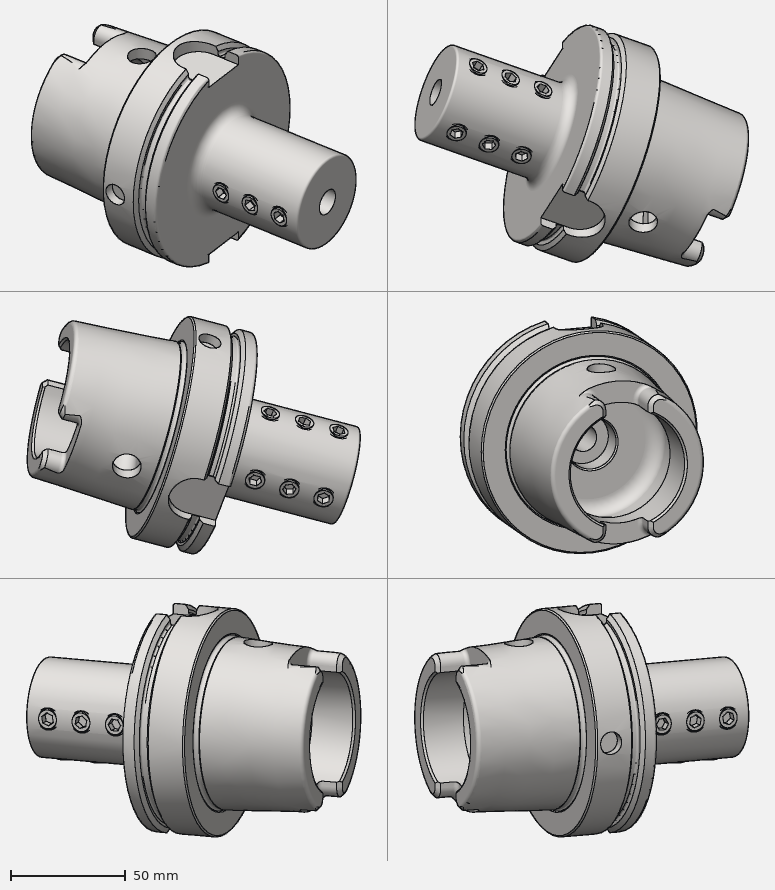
import cadquery as cq
import math

TOTAL_LENGTH = 134.9
FLANGE_START = 49.9
FLANGE_LENGTH = 29.0
FLANGE_END = FLANGE_START + FLANGE_LENGTH
FLANGE_RADIUS = 49.98

TAPER_MOUTH_RADIUS = 35.3
TAPER_BASE_RADIUS = 37.9
TAPER_END = 47.3
MOUTH_ROUND = 1.9

RELIEF_RADIUS = 37.4
RELIEF_START = 47.9
RELIEF_ROUND = 1.2
RELIEF_END = FLANGE_START + 0.3
RELIEF_FACE_RADIUS = 39.1

FLANGE_FRONT_CHAMFER = 0.7
FLANGE_REAR_ROUND = 1.2
GROOVE_START = 66.6
GROOVE_END = 73.3
GROOVE_FRONT_RUN = 1.3
GROOVE_REAR_RUN = 1.6
GROOVE_CONE_DEPTH = 2.2
GROOVE_FLOOR_RADIUS = 45.7
GROOVE_FLOOR_ROUND = 0.8

NOSE_RADIUS = 22.0
NOSE_FILLET = 4.9
NOSE_END_ROUND = 1.1

LIP_RADIUS = 26.5
LIP_END = 20.0
LIP_CHAMFER = 1.0
CAVITY_RADIUS = 31.5
CAVITY_DEPTH = 47.0
CAVITY_FLOOR_ROUND = 6.7
TUBE_SEAT_RADIUS = 11.3
TUBE_SEAT_CHAMFER = 0.7
TUBE_SEAT_DEPTH = 10.8
TOOL_BORE_RADIUS = 6.0

SLOT_HALF_WIDTH = 9.7
SLOT_CORNER_RADIUS = 5.0
SLOT_CORNER_Z = 27.1
SLOT_CORNER_SWEEP = 111.0
SLOT_FLOOR_FILLET = 1.9
SLOT_BLOCK_HALF_SIDE = 40.5
TOP_SLOT_DEPTH = 15.2
BOTTOM_SLOT_DEPTH = 10.0

ACCESS_HOLE_X = 34.8
ACCESS_HOLE_RADIUS = 6.2
KEYWAY_HALF_WIDTH = 10.9
KEYWAY_START = 54.4
KEYWAY_FLOOR_Z = 44.0
POCKET_X = 56.9
POCKET_RADIUS = 5.0
POCKET_DEPTH = 4.7

SCREW_RADIUS = 5.0
SCREW_CHAMFER = 0.8
SCREW_LENGTH = 15.5
HEX_ACROSS_FLATS = 5.0
HEX_DEPTH = 4.0
SCREW_FIRST_X = 93.5
SCREW_PITCH = 15.6
SCREWS_PER_ROW = 3
HEX_TURN_PER_SCREW = 20.0
SCREW_ROW_ANGLES = (0, 90, 180)


def revolve_about_x(profile):
    """Turn a closed XY profile a full turn about the X axis."""
    return profile.close().revolve(360, (0, 0, 0), (1, 0, 0))


def cavity():
    """Clamping cavity: chamfered lip, undercut behind it, and rounded floor corner."""
    profile = (
        cq.Workplane("XY")
        .lineTo(0, LIP_RADIUS + LIP_CHAMFER)
        .lineTo(LIP_CHAMFER, LIP_RADIUS)
        .lineTo(LIP_END, LIP_RADIUS)
        .lineTo(LIP_END, CAVITY_RADIUS)
        .lineTo(CAVITY_DEPTH - CAVITY_FLOOR_ROUND, CAVITY_RADIUS)
        .radiusArc((CAVITY_DEPTH, CAVITY_RADIUS - CAVITY_FLOOR_ROUND), CAVITY_FLOOR_ROUND)
        .lineTo(CAVITY_DEPTH, 0)
    )
    return revolve_about_x(profile)


def slot_prism(depth):
    """Drive slot on the +Z side, flaring outward round the ends of the two lobes."""
    reach = SLOT_BLOCK_HALF_SIDE
    corner_y = SLOT_HALF_WIDTH + SLOT_CORNER_RADIUS
    sweep = math.radians(SLOT_CORNER_SWEEP)

    def on_corner(angle):
        return (
            corner_y - SLOT_CORNER_RADIUS * math.cos(angle),
            SLOT_CORNER_Z + SLOT_CORNER_RADIUS * math.sin(angle),
        )

    arc_middle = on_corner(sweep / 2)
    arc_end = on_corner(sweep)
    flank_end_z = arc_end[1] + (reach - arc_end[0]) / math.tan(sweep)
    half = (
        cq.Workplane("YZ")
        .lineTo(SLOT_HALF_WIDTH, 0)
        .lineTo(SLOT_HALF_WIDTH, SLOT_CORNER_Z)
        .threePointArc(arc_middle, arc_end)
        .lineTo(reach, flank_end_z)
        .lineTo(reach, reach)
        .lineTo(0, reach)
        .close()
        .extrude(depth)
    )
    floor_rim = cq.selectors.BoxSelector((depth - 0.1, 1.3 - reach, 0.1), (depth + 0.1, reach - 1.3, reach - 1.3))
    return half.union(half.mirror("XZ")).edges(floor_rim).fillet(SLOT_FLOOR_FILLET)


def slotted_block():
    """Block holding both drive slots, with the edges round their mouths chamfered."""
    reach = SLOT_BLOCK_HALF_SIDE
    block = cq.Workplane("YZ").rect(2 * reach, 2 * reach).extrude(FLANGE_END)
    block = block.cut(slot_prism(TOP_SLOT_DEPTH))
    block = block.cut(slot_prism(BOTTOM_SLOT_DEPTH).mirror("XY"))
    mouth_rim = cq.selectors.BoxSelector((-0.1, 1.3 - reach, 1.3 - reach), (0.1, reach - 1.3, reach - 1.3))
    return block.edges(mouth_rim).chamfer(MOUTH_ROUND)


def shank_and_flange_blank():
    """Outside of the holder, turned in one piece: taper, relief, flange and nose."""
    gripper_cone_radius = FLANGE_RADIUS - GROOVE_CONE_DEPTH
    groove_front = GROOVE_START + GROOVE_FRONT_RUN
    groove_rear = GROOVE_END - GROOVE_REAR_RUN
    floor_corner_radius = GROOVE_FLOOR_RADIUS + GROOVE_FLOOR_ROUND
    profile = (
        cq.Workplane("XY")
        .lineTo(0, TAPER_MOUTH_RADIUS - MOUTH_ROUND)
        .radiusArc((MOUTH_ROUND, TAPER_MOUTH_RADIUS), MOUTH_ROUND)
        .lineTo(TAPER_END, TAPER_BASE_RADIUS)
        .lineTo(RELIEF_START, RELIEF_RADIUS)
        .lineTo(RELIEF_END - RELIEF_ROUND, RELIEF_RADIUS)
        .radiusArc((RELIEF_END, RELIEF_RADIUS + RELIEF_ROUND), -RELIEF_ROUND)
        .lineTo(FLANGE_START, RELIEF_FACE_RADIUS)
        .lineTo(FLANGE_START, FLANGE_RADIUS - FLANGE_FRONT_CHAMFER)
        .lineTo(FLANGE_START + FLANGE_FRONT_CHAMFER, FLANGE_RADIUS)
        .lineTo(GROOVE_START, FLANGE_RADIUS)
        .lineTo(groove_front, gripper_cone_radius)
        .lineTo(groove_front, floor_corner_radius)
        .radiusArc((groove_front + GROOVE_FLOOR_ROUND, GROOVE_FLOOR_RADIUS), -GROOVE_FLOOR_ROUND)
        .lineTo(groove_rear - GROOVE_FLOOR_ROUND, GROOVE_FLOOR_RADIUS)
        .radiusArc((groove_rear, floor_corner_radius), -GROOVE_FLOOR_ROUND)
        .lineTo(groove_rear, gripper_cone_radius)
        .lineTo(GROOVE_END, FLANGE_RADIUS)
        .lineTo(FLANGE_END - FLANGE_REAR_ROUND, FLANGE_RADIUS)
        .radiusArc((FLANGE_END, FLANGE_RADIUS - FLANGE_REAR_ROUND), FLANGE_REAR_ROUND)
        .lineTo(FLANGE_END, NOSE_RADIUS + NOSE_FILLET)
        .radiusArc((FLANGE_END + NOSE_FILLET, NOSE_RADIUS), -NOSE_FILLET)
        .lineTo(TOTAL_LENGTH - NOSE_END_ROUND, NOSE_RADIUS)
        .radiusArc((TOTAL_LENGTH, NOSE_RADIUS - NOSE_END_ROUND), NOSE_END_ROUND)
        .lineTo(TOTAL_LENGTH, 0)
    )
    return revolve_about_x(profile)


def tool_bore():
    """Coolant-tube seat in the cavity floor and the tool bore behind it, out to the nose end."""
    mouth_radius = TUBE_SEAT_RADIUS + TUBE_SEAT_CHAMFER
    seat_end = CAVITY_DEPTH + TUBE_SEAT_DEPTH
    profile = (
        cq.Workplane("XY")
        .moveTo(CAVITY_DEPTH, 0)
        .lineTo(CAVITY_DEPTH, mouth_radius)
        .lineTo(CAVITY_DEPTH + TUBE_SEAT_CHAMFER, TUBE_SEAT_RADIUS)
        .lineTo(seat_end, TUBE_SEAT_RADIUS)
        .lineTo(seat_end, TOOL_BORE_RADIUS)
        .lineTo(TOTAL_LENGTH, TOOL_BORE_RADIUS)
        .lineTo(TOTAL_LENGTH, 0)
    )
    return revolve_about_x(profile)


def keyway():
    """Round-ended keyway on the +Z side of the flange, open at the flange's rear face."""
    centre_x = KEYWAY_START + KEYWAY_HALF_WIDTH
    return (
        cq.Workplane("XY", origin=(0, 0, KEYWAY_FLOOR_Z))
        .moveTo(FLANGE_END, KEYWAY_HALF_WIDTH)
        .lineTo(centre_x, KEYWAY_HALF_WIDTH)
        .threePointArc((KEYWAY_START, 0), (centre_x, -KEYWAY_HALF_WIDTH))
        .lineTo(FLANGE_END, -KEYWAY_HALF_WIDTH)
        .close()
        .extrude(FLANGE_RADIUS - KEYWAY_FLOOR_Z)
    )


def access_hole():
    """Cross hole through both walls of the taper."""
    length = 2 * TAPER_BASE_RADIUS
    return cq.Workplane("XY").center(ACCESS_HOLE_X, 0).circle(ACCESS_HOLE_RADIUS).extrude(length / 2, both=True)


def flange_pocket():
    """Blind round pocket in the -Y side of the flange."""
    return (
        cq.Workplane("XZ", origin=(POCKET_X, -FLANGE_RADIUS, 0))
        .circle(POCKET_RADIUS)
        .extrude(-POCKET_DEPTH)
    )


def screw_blank(x, row_angle):
    """Chamfered screw cylinder set into the nose; row 0 faces -Y and rows turn about X."""
    blank = (
        cq.Workplane("XZ", origin=(x, -NOSE_RADIUS, 0))
        .circle(SCREW_RADIUS)
        .extrude(-SCREW_LENGTH)
        .faces("<Y")
        .chamfer(SCREW_CHAMFER)
    )
    return blank.rotate((0, 0, 0), (1, 0, 0), row_angle)


def set_screw(x, row_angle, hex_turn):
    """Set screw with a hexagon socket turned about the screw's own axis."""
    socket = (
        cq.Workplane("XZ", origin=(x, -NOSE_RADIUS, 0))
        .polygon(6, HEX_ACROSS_FLATS / math.cos(math.pi / 6))
        .extrude(-HEX_DEPTH)
        .rotate((x, 0, 0), (x, -1, 0), hex_turn)
        .rotate((0, 0, 0), (1, 0, 0), row_angle)
    )
    return screw_blank(x, row_angle).cut(socket)


def screw_places():
    """Position along X, row angle and socket turn of every set screw."""
    return [
        (SCREW_FIRST_X + index * SCREW_PITCH, row_angle, index * HEX_TURN_PER_SCREW)
        for row_angle in SCREW_ROW_ANGLES
        for index in range(SCREWS_PER_ROW)
    ]


def tool_holder():
    """Holder body with every hole, slot and screw seat cut."""
    flange_and_nose = shank_and_flange_blank()
    wide = 2 * FLANGE_RADIUS
    rear_length = TOTAL_LENGTH - FLANGE_START
    rear_envelope = cq.Workplane("YZ", origin=(FLANGE_START, 0, 0)).rect(wide, wide).extrude(rear_length)
    holder = flange_and_nose.intersect(slotted_block().union(rear_envelope))
    holder = holder.cut(access_hole()).cut(flange_pocket())
    holder = holder.cut(cavity()).cut(tool_bore())
    holder = holder.cut(keyway()).cut(keyway().mirror("XY"))
    for x, row_angle, _ in screw_places():
        holder = holder.cut(screw_blank(x, row_angle))
    return holder


holder = tool_holder()
set_screws = [set_screw(*place) for place in screw_places()]
result = cq.Compound.makeCompound([holder.val(), *[screw.val() for screw in set_screws]])